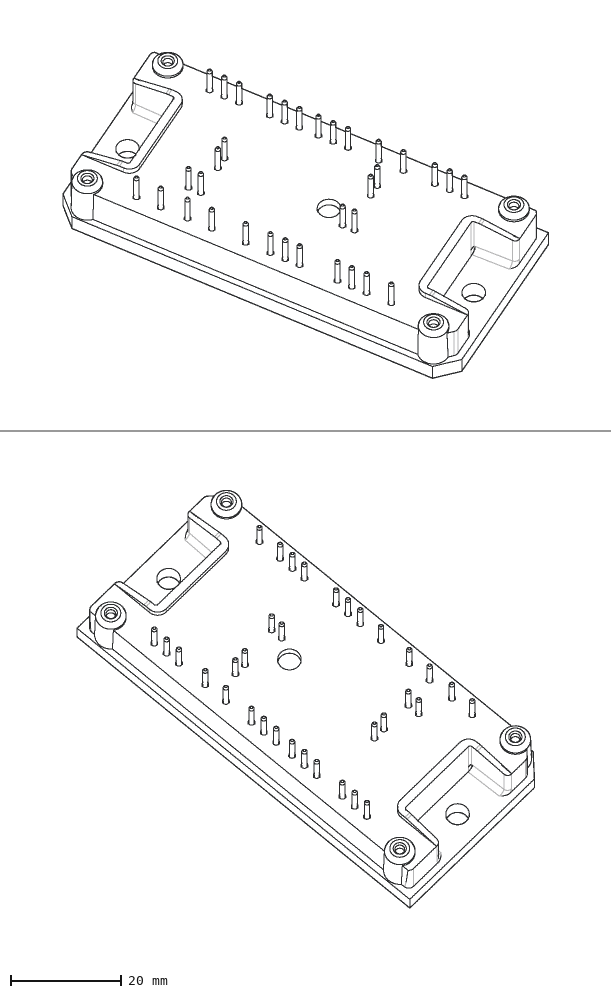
import cadquery as cq
LENGTH = 82.0
WIDTH = 37.4
BASE_TOP = 3.45
BASE_CHAMFER = 3.9

BODY_LENGTH = 79.4
BODY_WIDTH = 34.9
BODY_TOP = 10.4
BODY_SIDE_DRAFT = 0.25
BODY_CHAMFER = 3.2
BODY_CORNER_RADIUS = 1.2

RECESS_BACK_X = 30.6
RECESS_BACK_HALF_WIDTH = 8.8
RECESS_MOUTH_HALF_WIDTH = 9.0
RECESS_CORNER_RADIUS = 0.4
RECESS_FLOOR_RADIUS = 1.15
RECESS_MOUTH_RADIUS = 1.0
SLOT_WIDTH = 0.6
LIP_BACK_X = 28.9
LIP_HALF_WIDTH = 10.1
LIP_TOP = 11.65
LIP_RADIUS = 2.1
LIP_SLOPE_START_X = 32.15
LIP_SLOPE_BLEND = 3.3

HOLE_X = 35.6
BOSS_Y = 15.5
BOSS_BASE_RADIUS = 2.95
BOSS_RADIUS = 2.8
BOSS_SHOULDER = 10.9
BOSS_TOP = 11.9
BOSS_TOP_RADIUS = 1.8
SOCKET_DIAMETER = 2.4
SOCKET_CONE_DEPTH = 0.4
SOCKET_BORE_DIAMETER = 1.8
SOCKET_DEPTH = 1.6

HOLE_DIAMETER = 4.3
CENTRE_HOLE_X = 5.8
CENTRE_HOLE_DEPTH = 1.6

PIN_DIAMETER = 1.0
PIN_TOP = 16.2
PIN_TIP_HEIGHT = 0.5
PIN_TIP_INSET = 0.25
PIN_HOLE_DIAMETER = 1.2
PIN_HOLE_DEPTH = 0.8
PIN_ROW_Y = 14.1
BACK_ROW_X = [-26.2, -23.2, -20.2, -13.85, -10.8, -7.8, -3.85, -0.8, 2.2, 8.5, 13.6, 20.1, 23.1, 26.15]
FRONT_ROW_X = [-26.2, -21.2, -15.75, -10.75, -3.8, 1.3, 4.35, 7.3, 15.1, 18, 21.1, 26.15]
INNER_PINS = [
    (-16.4, 1.4), (-16.4, -1.15), (-18.95, -7.7), (-16.4, -7.7),
    (11.1, 8.8), (11.1, 6.2), (9.8, -2.3), (12.3, -2.3),
]

ENDS = (-1, 1)
BODY_BOTTOM = BASE_TOP - RECESS_FLOOR_RADIUS
MOUTH_X = BODY_LENGTH / 2


def inner_side(end):
    """Selector for the edges nearest the middle of the part."""
    return "<X" if end > 0 else ">X"


def make_base():
    plate = cq.Workplane("XY").box(LENGTH, WIDTH, BASE_TOP, centered=(True, True, False))
    return plate.edges("|Z and <Y").chamfer(BASE_CHAMFER)


def make_housing_block():
    """Block up to the lip height, with leaning long sides and two chamfered front corners."""
    half_bottom = BODY_WIDTH / 2
    half_top = half_bottom - BODY_SIDE_DRAFT
    block = (
        cq.Workplane("YZ", origin=(-MOUTH_X, 0, 0))
        .moveTo(-half_bottom, BODY_BOTTOM)
        .lineTo(half_bottom, BODY_BOTTOM)
        .lineTo(half_bottom, BASE_TOP)
        .lineTo(half_top, BODY_TOP)
        .lineTo(half_top, LIP_TOP)
        .lineTo(-half_top, LIP_TOP)
        .lineTo(-half_top, BODY_TOP)
        .lineTo(-half_bottom, BASE_TOP)
        .close()
        .extrude(BODY_LENGTH)
    )
    outline = (
        cq.Workplane("XY")
        .rect(BODY_LENGTH, BODY_WIDTH)
        .extrude(LIP_TOP)
        .edges("|Z and <Y")
        .chamfer(BODY_CHAMFER)
        .edges("|Z")
        .fillet(BODY_CORNER_RADIUS)
    )
    return block.intersect(outline)


def make_lip(end):
    """Raised rim whose two arms slope down towards the mouth of the recess."""
    rim = (
        cq.Workplane("XY", origin=(end * (LIP_BACK_X + MOUTH_X) / 2, 0, BASE_TOP))
        .rect(MOUTH_X - LIP_BACK_X, 2 * LIP_HALF_WIDTH)
        .extrude(LIP_TOP - BASE_TOP)
        .edges("|Z")
        .edges(inner_side(end))
        .fillet(LIP_RADIUS)
    )
    side = (
        cq.Workplane("XZ", origin=(0, LIP_HALF_WIDTH, 0))
        .polyline([
            (end * LIP_BACK_X, BASE_TOP),
            (end * LIP_BACK_X, LIP_TOP),
            (end * LIP_SLOPE_START_X, LIP_TOP),
            (end * MOUTH_X, BODY_TOP),
            (end * MOUTH_X, BASE_TOP),
        ])
        .close()
        .extrude(2 * LIP_HALF_WIDTH)
        .edges(cq.selectors.NearestToPointSelector((end * LIP_SLOPE_START_X, 0, LIP_TOP)))
        .fillet(LIP_SLOPE_BLEND)
    )
    return rim.intersect(side)


def make_recess(end):
    """Pocket open at the end of the housing, flaring slightly outwards."""
    overrun = 1.6
    flare = (RECESS_MOUTH_HALF_WIDTH - RECESS_BACK_HALF_WIDTH) / (MOUTH_X - RECESS_BACK_X)
    outer_x = MOUTH_X + overrun
    outer_half_width = RECESS_MOUTH_HALF_WIDTH + flare * overrun
    pocket = (
        cq.Workplane("XY", origin=(0, 0, BASE_TOP))
        .polyline([
            (end * RECESS_BACK_X, -RECESS_BACK_HALF_WIDTH),
            (end * outer_x, -outer_half_width),
            (end * outer_x, outer_half_width),
            (end * RECESS_BACK_X, RECESS_BACK_HALF_WIDTH),
        ])
        .close()
        .extrude(LIP_TOP)
    )
    rounded_back = pocket.edges("|Z").edges(inner_side(end)).fillet(RECESS_CORNER_RADIUS)
    rounded_floor = pocket.faces("<Z").edges("not |Y").fillet(RECESS_FLOOR_RADIUS)
    return rounded_back.intersect(rounded_floor)


def make_slot(end):
    """Slot along the back wall, through the base plate and the rounded floor edges above it."""
    slot = (
        cq.Workplane("XY", origin=(end * (RECESS_BACK_X + SLOT_WIDTH / 2), 0, 0))
        .rect(SLOT_WIDTH, 2 * RECESS_BACK_HALF_WIDTH)
        .extrude(BASE_TOP + RECESS_FLOOR_RADIUS)
    )
    return slot.edges("|Z").edges(inner_side(end)).fillet(RECESS_CORNER_RADIUS)


def round_mouth(housing, end):
    """Round the two upright edges of a recess mouth and the floor edge that joins them."""
    margin = 0.4
    near = (end * (MOUTH_X - margin), -RECESS_MOUTH_HALF_WIDTH - margin, (BODY_BOTTOM + BASE_TOP) / 2)
    far = (end * (MOUTH_X + margin), RECESS_MOUTH_HALF_WIDTH + margin, LIP_TOP + margin)
    return housing.edges(cq.selectors.BoxSelector(near, far)).fillet(RECESS_MOUTH_RADIUS)


def make_housing():
    envelope = cq.Workplane("XY").box(LENGTH, WIDTH, BODY_TOP, centered=(True, True, False))
    housing = make_housing_block()
    for end in ENDS:
        envelope = envelope.union(make_lip(end))
        housing = round_mouth(housing.cut(make_recess(end)), end)
    return housing.intersect(envelope)


def make_boss():
    profile = (
        cq.Workplane("XZ")
        .moveTo(0, BASE_TOP)
        .lineTo(BOSS_BASE_RADIUS, BASE_TOP)
        .lineTo(BOSS_RADIUS, BOSS_SHOULDER)
        .lineTo(BOSS_TOP_RADIUS, BOSS_TOP)
        .lineTo(0, BOSS_TOP)
        .close()
    )
    return profile.revolve(360, (0, 0), (0, 1))


def make_socket():
    """Round hole with a conical entry."""
    bore_radius = SOCKET_BORE_DIAMETER / 2
    profile = (
        cq.Workplane("XZ")
        .moveTo(0, BOSS_TOP)
        .lineTo(SOCKET_DIAMETER / 2, BOSS_TOP)
        .lineTo(bore_radius, BOSS_TOP - SOCKET_CONE_DEPTH)
        .lineTo(bore_radius, BOSS_TOP - SOCKET_DEPTH)
        .lineTo(0, BOSS_TOP - SOCKET_DEPTH)
        .close()
    )
    return profile.revolve(360, (0, 0), (0, 1))


def make_pin():
    root = BODY_TOP - PIN_HOLE_DEPTH
    radius = PIN_DIAMETER / 2
    profile = (
        cq.Workplane("XZ")
        .moveTo(0, root)
        .lineTo(radius, root)
        .lineTo(radius, PIN_TOP - PIN_TIP_HEIGHT)
        .lineTo(radius - PIN_TIP_INSET, PIN_TOP)
        .lineTo(0, PIN_TOP)
        .close()
    )
    return profile.revolve(360, (0, 0), (0, 1))


def drill(points, diameter, top, depth):
    """Cylinders that reach down by depth from the height top."""
    holes = cq.Workplane("XY", origin=(0, 0, top)).pushPoints(points)
    return holes.circle(diameter / 2).extrude(-depth)


boss_points = [(x * HOLE_X, y * BOSS_Y) for x in ENDS for y in (-1, 1)]
pin_points = [(x, PIN_ROW_Y) for x in BACK_ROW_X] + [(x, -PIN_ROW_Y) for x in FRONT_ROW_X] + INNER_PINS

result = make_base().union(make_housing())

for x, y in boss_points:
    result = result.union(make_boss().translate((x, y, 0)))
    result = result.cut(make_socket().translate((x, y, 0)))

result = result.cut(drill([(end * HOLE_X, 0) for end in ENDS], HOLE_DIAMETER, BASE_TOP, BASE_TOP))
for end in ENDS:
    result = result.cut(make_slot(end))
result = result.cut(drill([(CENTRE_HOLE_X, 0)], HOLE_DIAMETER, BODY_TOP, CENTRE_HOLE_DEPTH))

result = result.cut(drill(pin_points, PIN_HOLE_DIAMETER, BODY_TOP, PIN_HOLE_DEPTH))
for x, y in pin_points:
    result = result.union(make_pin().translate((x, y, 0)))